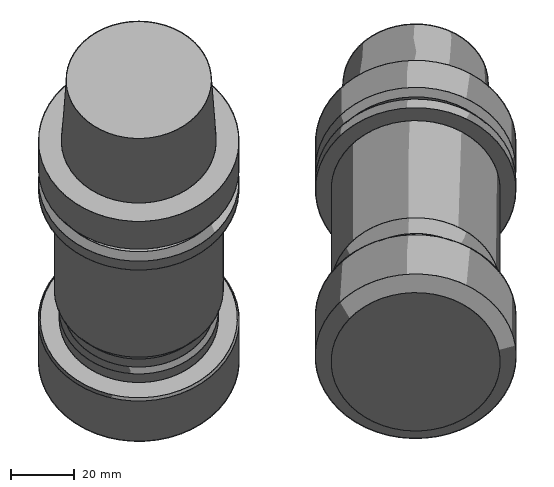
import cadquery as cq

flange_diameter = 62.9
nut_diameter = 63.0
taper_top_diameter = 45.5
taper_base_diameter = 48.6
groove_diameter = 55.0
groove_land_diameter = 57.7
body_diameter = 53.0
neck_diameter = 47.5
collar_diameter = 50.0

total_height = 151.8
flange_top = 119.7
groove_upper_edge = 105.0
groove_lower_edge = 98.5
flange_bottom = 93.8
body_bottom = 40.8
neck_top = 36.1
neck_bottom = 31.9
collar_chamfer_top = 29.9
nut_top = 25.4

groove_bevel_height = 1.5
nut_rim_bevel_height = 0.9
nut_rim_bevel_width = 0.6
nut_bottom_bevel_height = 3.0
nut_bottom_diameter = body_diameter


def turned(steps):
    """Revolve (diameter, height) steps about Z, closing the outline along the axis."""
    outline = [(diameter / 2, height) for diameter, height in steps]
    bottom_height = steps[0][1]
    top_height = steps[-1][1]
    points = [(0, bottom_height)] + outline + [(0, top_height)]
    return cq.Workplane("XZ").polyline(points).close().revolve(360, (0, 0), (0, 1))


nut = turned([
    (nut_bottom_diameter, 0),
    (nut_diameter, nut_bottom_bevel_height),
    (nut_diameter, nut_top - nut_rim_bevel_height),
    (nut_diameter - 2 * nut_rim_bevel_width, nut_top),
])

body = turned([
    (collar_diameter, nut_top),
    (collar_diameter, collar_chamfer_top),
    (neck_diameter, neck_bottom),
    (neck_diameter, neck_top),
    (body_diameter, body_bottom),
    (body_diameter, flange_bottom),
])

flange = turned([
    (flange_diameter, flange_bottom),
    (flange_diameter, groove_lower_edge),
    (groove_land_diameter, groove_lower_edge + groove_bevel_height),
    (groove_diameter, groove_lower_edge + groove_bevel_height),
    (groove_diameter, groove_upper_edge - groove_bevel_height),
    (groove_land_diameter, groove_upper_edge - groove_bevel_height),
    (flange_diameter, groove_upper_edge),
    (flange_diameter, flange_top),
])

shank = turned([
    (taper_base_diameter, flange_top),
    (taper_top_diameter, total_height),
])

result = nut.union(body).union(flange).union(shank)